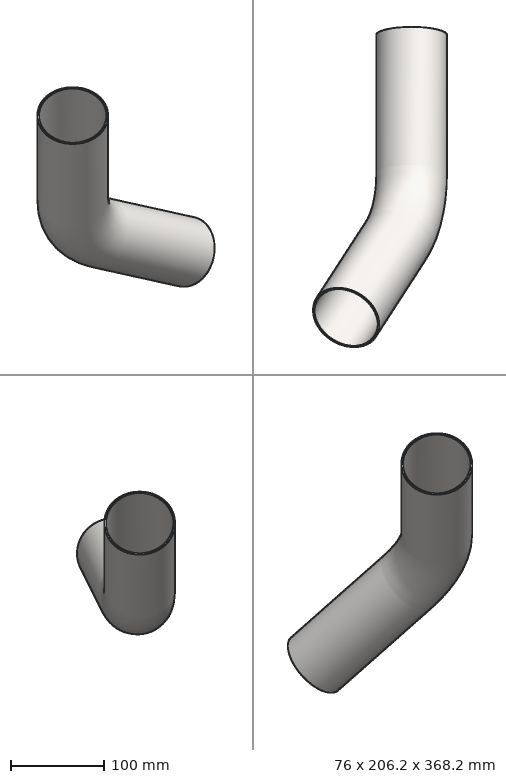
import cadquery as cq
import math

outer_diameter = 76.0
bore_diameter = 72.0
leg_length = 152.5
bend_radius = 114.5
bend_angle = 45.0


def bend_point(angle):
    """Centreline point (Y, Z) after turning by the angle; the bend starts at the origin."""
    turn = math.radians(angle)
    return (bend_radius * (1 - math.cos(turn)), -bend_radius * math.sin(turn))


bend_end = bend_point(bend_angle)
slope = math.radians(bend_angle)
lower_end = (
    bend_end[0] + leg_length * math.sin(slope),
    bend_end[1] - leg_length * math.cos(slope),
)
centreline = (
    cq.Workplane("YZ")
    .moveTo(0, leg_length)
    .lineTo(0, 0)
    .threePointArc(bend_point(bend_angle / 2), bend_end)
    .lineTo(*lower_end)
)

result = (
    cq.Workplane("XY", origin=(0, 0, leg_length))
    .circle(outer_diameter / 2)
    .circle(bore_diameter / 2)
    .sweep(centreline)
)